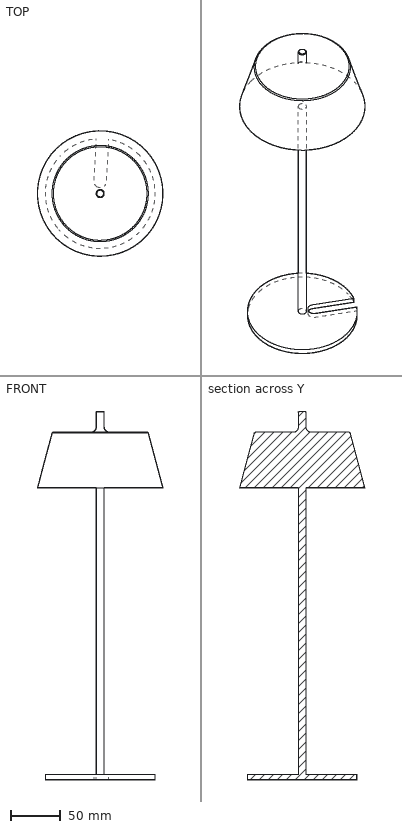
import cadquery as cq

total_height = 369.5
stem_radius = 8.0 / 2

base_radius = 55.0
base_thickness = 5.5
slot_width = 12.5
slot_end_center = 12.2
slot_angle = -3.1

shade_bottom_z = 292.5
shade_top_z = 348.5
shade_bottom_radius = 126.0 / 2
shade_top_radius = 48.0
shade_rim_chamfer = 1.0

flare_radius = 4.8
pin_chamfer = 0.7


def make_base():
    disc = cq.Workplane("XY").circle(base_radius).extrude(base_thickness)
    slot = (
        cq.Workplane("XY")
        .rect(slot_width, base_radius)
        .extrude(base_thickness)
        .translate((0, slot_end_center + base_radius / 2, 0))
    )
    rounded_end = (
        cq.Workplane("XY")
        .center(0, slot_end_center)
        .circle(slot_width / 2)
        .extrude(base_thickness)
    )
    slot = slot.union(rounded_end).rotate((0, slot_end_center, 0), (0, slot_end_center, 1), slot_angle)
    return disc.cut(slot)


def make_stem():
    return cq.Workplane("XY").circle(stem_radius).extrude(shade_top_z)


def make_shade():
    shade = (
        cq.Workplane("XZ")
        .moveTo(0, shade_bottom_z)
        .lineTo(shade_bottom_radius, shade_bottom_z)
        .lineTo(shade_top_radius, shade_top_z)
        .lineTo(0, shade_top_z)
        .close()
        .revolve(360, (0, 0, 0), (0, 1, 0))
    )
    return shade.faces(">Z").edges().chamfer(shade_rim_chamfer)


def make_finial():
    foot_radius = stem_radius + flare_radius
    diagonal_inset = flare_radius * 0.5**0.5
    return (
        cq.Workplane("XZ")
        .moveTo(0, shade_top_z)
        .lineTo(foot_radius, shade_top_z)
        .threePointArc(
            (foot_radius - diagonal_inset, shade_top_z + flare_radius - diagonal_inset),
            (stem_radius, shade_top_z + flare_radius),
        )
        .lineTo(stem_radius, total_height - pin_chamfer)
        .lineTo(stem_radius - pin_chamfer, total_height)
        .lineTo(0, total_height)
        .close()
        .revolve(360, (0, 0, 0), (0, 1, 0))
    )


result = make_base().union(make_stem()).union(make_shade()).union(make_finial())